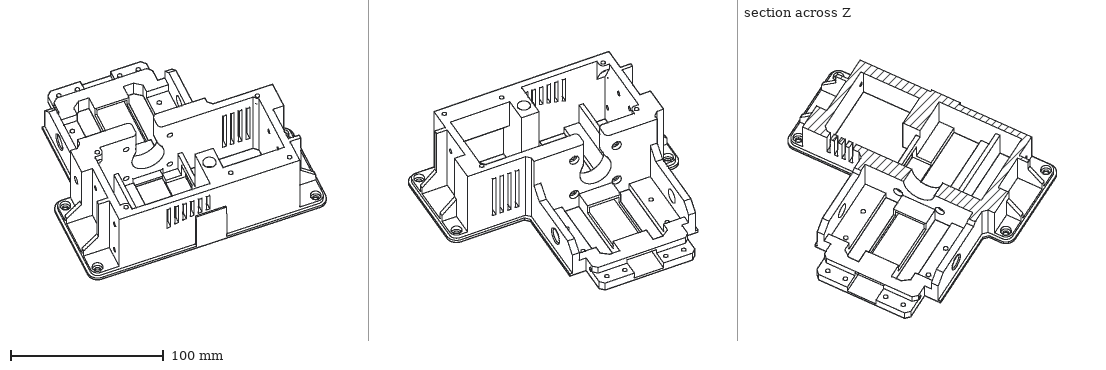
import cadquery as cq


LENGTH = 152.0
HEIGHT = 55.0
BASE_HOLE_PITCH_X = 55.0
BASE_HOLE_PITCH_Y = 154.63
CORNER_R = 7.0
LEDGE_INSET = 2.0
FLANGE_Z = 2.0
LEDGE_Z = 4.9
BASE_HOLE_D = 4.0
BASE_BORE_D = 7.0
BASE_BORE_DEPTH = 3.0

BODY_Y = 18.685
BASE_X0 = LENGTH - BASE_HOLE_PITCH_X - 2 * CORNER_R
BASE_CX = (BASE_X0 + LENGTH) / 2
BASE_WIDTH_X = LENGTH - BASE_X0
BASE_WIDTH_Y = BASE_HOLE_PITCH_Y + 2 * CORNER_R

BOX_X0 = BASE_X0 + LEDGE_INSET
BOX_X1 = LENGTH - LEDGE_INSET
BOX_HALF_Y = 71.7
RECESS_HALF_Y = 64.0
RECESS_X0 = 104.3
WALL_HOLE_D = 3.0
CORNER_SCREW_X = (BASE_X0 + CORNER_R, LENGTH - CORNER_R)

RIB_LOW_Z = 10.2
RIB_HIGH_Z = 20.3
FRONT_RIB_X = (101.3, RECESS_X0)
BACK_RIB_X = (130.5, 133.2)
RIB_REACH = BASE_WIDTH_Y / 2 - LEDGE_INSET

CAVITY_X0 = BASE_X0 + CORNER_R
LARGE_CAVITY_X1 = 136.2
LARGE_CAVITY_Y1 = 77.5
LARGE_CAVITY_CHAMFER = 3.0
SMALL_CAVITY_X1 = 145.2
SMALL_CAVITY_Y0 = -40.2
PILLAR_X0 = 119.1
PILLAR_Y0 = 21.1
PILLAR_Y1 = 34.1
UNDERCUT_HIGH_Z = 33.4
UNDERCUT_LOW_Z = 23.5
PILLAR_HOLE_XY = (128.9, 27.4)
PILLAR_BORE_D = 8.6
PILLAR_HOLE_D = 4.5
PILLAR_BORE_DEPTH = 10.0
PILLAR_HOLE_DEPTH = 25.0
BOSS_SIZE = 6.1
BOSS_THICK = 4.5
BOSS_SLOPE = 12.0
BOSS_HOLE_INSET = 3.0
BOSS_ROUND = BOSS_HOLE_INSET
SCREW_D = 2.9
SCREW_DEPTH = 7.0
DRILL_TIP_RATIO = 0.3
LID_SCREW_X = SMALL_CAVITY_X1 - BOSS_HOLE_INSET
LID_SCREW_Y = 37.0

END_HOLES_XZ = ((109.5, 40.0), (125.4, 40.0), (141.9, 13.0))
END_BLIND_HOLE_XZ = (141.9, 40.0)
END_BLIND_DEPTH = 4.0
END_HOLE_OVERRUN = 0.5
CABLE_HOLE_X = 94.9
CABLE_HOLE_Z = 35.0
CABLE_HOLE_D = 5.2

SHELF_Y0 = 10.1
LIP_Y1 = 24.2
SHELF_Z = 5.0
LIP_Z = 20.7
WINDOW_X = (96.1, 113.9)
WINDOW_Z = (2.0, 15.5)

MOTOR_X0 = 78.5
ARM_HALF_Y = 45.1
WALL_CHAMFER = 3.0
MOTOR_Z = 27.9
MOTOR_BORE_R = 11.4
MOTOR_PITCH = 31.0
MOTOR_SCREW_D = 3.8
MOTOR_SCREW_HEAD_D = 6.6
MOTOR_SCREW_HEAD_DEPTH = 3.0
NOTCH_HALF = 7.6
NOTCH_ROUND = 3.0

ARM_X0 = 22.1
ARM_WALL_INNER = 40.0
ARM_FLANGE_HALF_Y = 46.9
ARM_TOP_Z = 25.3
ARM_FRONT_CHAMFER = 6.9
ARM_REAR_CHAMFER = 7.9
ARM_HOLE_X = 46.9
ARM_HOLE_Z = 14.4
ARM_HOLE_D = 9.8
ARM_HOLE_CHAMFER = 0.8
FLOOR_Z = 5.0
FLOOR_INNER_Y = 24.6
FLOOR_HOLE_X = (35.0, 58.8)
FLOOR_HOLE_Y = 30.8
BRIDGE_X0 = 10.5
BRIDGE_X1 = 28.3
BRIDGE_Z = 11.5
OPENING_X0 = 18.4
OPENING_CHAMFER_X = 3.9
OPENING_CHAMFER_Y = 5.1
BEAM_HALF_Y = 12.2
BLOCK_X0 = 65.9
CHANNEL_HALF_Y = 10.7
CHANNEL_Z = (2.0, 9.4)
TAB_HALF_Y = 35.0
TAB_Z = 6.4
TAB_CHAMFER = 3.0
TAB_HOLE_X = 5.4
TAB_HOLE_Y = (15.0, 28.1)
SIDE_SCREW_X = 15.6
SIDE_SCREW_Z = 6.6

VENT_PITCH = 5.55
VENT_WIDTH = 2.5
FRONT_VENT_Y0 = 54.2
FRONT_VENT_COUNT = 4
FRONT_VENT_Z = (11.9, 44.9)
REAR_VENT_Y0 = -10.1
REAR_VENT_COUNT = 6
REAR_VENT_TOP = 48.6
REAR_VENT_ARC = ((-11.6, 28.6), (4.0, 32.8), (19.3, 34.6))

PAD_Y = (8.8, 30.2)
PAD_EDGE_Z = 23.3
PAD_TOP_Z = 32.0
PAD_TOP_X = BOX_X1 + 1.0


def block(x0, x1, y0, y1, z0, z1):
    return cq.Workplane("XY").box(x1 - x0, y1 - y0, z1 - z0, centered=False).translate((x0, y0, z0))


def prism_along_y(points, y0, y1):
    return cq.Workplane("XZ", origin=(0, y0, 0)).polyline(points).close().extrude(y0 - y1)


def prism_along_x(points, x0, x1):
    return cq.Workplane("YZ", origin=(x0, 0, 0)).polyline(points).close().extrude(x1 - x0)


def hole_z(x, y, diameter, z0, z1):
    return cq.Workplane("XY", origin=(x, y, z0)).circle(diameter / 2).extrude(z1 - z0)


def hole_y(x, z, diameter, y0, y1):
    return cq.Workplane("XZ", origin=(x, y0, z)).circle(diameter / 2).extrude(y0 - y1)


def hole_x(y, z, diameter, x0, x1):
    return cq.Workplane("YZ", origin=(x0, y, z)).circle(diameter / 2).extrude(x1 - x0)


def blind_hole(mouth, direction, diameter, depth):
    """Drilled hole from its mouth inward, ending in a drill point."""
    start = cq.Vector(*mouth)
    inward = cq.Vector(*direction)
    bore = cq.Solid.makeCylinder(diameter / 2, depth, start, inward)
    tip = cq.Solid.makeCone(diameter / 2, 0, DRILL_TIP_RATIO * diameter, start + inward * depth, inward)
    return cq.Workplane(bore).union(cq.Workplane(tip))


def both_ends(solid):
    """Add the copy mirrored about the body's middle plane."""
    return solid.union(solid.mirror("XZ", (0, BODY_Y, 0)))


def both_sides(solid):
    """Add the copy mirrored about the arm axis."""
    return solid.union(solid.mirror("XZ"))


def make_base():
    flange = (
        cq.Workplane("XY", origin=(BASE_CX, BODY_Y, 0))
        .rect(BASE_WIDTH_X, BASE_WIDTH_Y)
        .extrude(FLANGE_Z)
        .edges("|Z")
        .fillet(CORNER_R)
    )
    ledge = (
        cq.Workplane("XY", origin=(BASE_CX, BODY_Y, 0))
        .rect(BASE_WIDTH_X - 2 * LEDGE_INSET, BASE_WIDTH_Y - 2 * LEDGE_INSET)
        .extrude(LEDGE_Z)
        .edges("|Z")
        .fillet(CORNER_R - LEDGE_INSET)
    )
    return flange.union(ledge)


def make_box():
    box = block(BOX_X0, BOX_X1, BODY_Y - BOX_HALF_Y, BODY_Y + BOX_HALF_Y, 0, HEIGHT)
    recess_y0 = BODY_Y + RECESS_HALF_Y
    recess = block(RECESS_X0, LENGTH, recess_y0, recess_y0 + BOX_HALF_Y, LEDGE_Z, HEIGHT)
    return box.cut(both_ends(recess))


def make_ribs():
    root = BODY_Y + RECESS_HALF_Y
    shoulder = BODY_Y + BOX_HALF_Y
    tip = BODY_Y + RIB_REACH
    gusset = [(root, 0), (tip, 0), (tip, RIB_LOW_Z), (shoulder, RIB_HIGH_Z), (root, RIB_HIGH_Z)]
    ribs = prism_along_x(gusset, *FRONT_RIB_X).union(prism_along_x(gusset, *BACK_RIB_X))
    ribs = ribs.union(block(*BACK_RIB_X, root, shoulder, 0, HEIGHT))
    return both_ends(ribs)


def make_motor_wall():
    """Thick wall between arm and box, with bevelled corners running into the box front."""

    def plan(front_x, half_y, corner_x, height):
        points = [
            (front_x, -half_y),
            (corner_x - WALL_CHAMFER, -half_y),
            (corner_x, -half_y - WALL_CHAMFER),
            (CAVITY_X0, -half_y - WALL_CHAMFER),
            (CAVITY_X0, half_y + WALL_CHAMFER),
            (corner_x, half_y + WALL_CHAMFER),
            (corner_x - WALL_CHAMFER, half_y),
            (front_x, half_y),
        ]
        return cq.Workplane("XY").polyline(points).close().extrude(height)

    wall = plan(MOTOR_X0, ARM_HALF_Y, BOX_X0, HEIGHT)
    foot = plan(MOTOR_X0, ARM_FLANGE_HALF_Y, BASE_X0, FLANGE_Z)
    return wall.union(foot)


def make_arm():
    rear_z = ARM_TOP_Z + ARM_REAR_CHAMFER
    side_profile = [
        (ARM_X0, 0),
        (MOTOR_X0, 0),
        (MOTOR_X0, rear_z),
        (MOTOR_X0 - ARM_REAR_CHAMFER, ARM_TOP_Z),
        (ARM_X0 + ARM_FRONT_CHAMFER, ARM_TOP_Z),
        (ARM_X0, ARM_TOP_Z - ARM_FRONT_CHAMFER),
    ]
    side = prism_along_y(side_profile, ARM_WALL_INNER, ARM_HALF_Y)
    side = side.union(block(ARM_X0, MOTOR_X0, ARM_WALL_INNER, ARM_FLANGE_HALF_Y, 0, FLANGE_Z))
    side = side.union(block(BRIDGE_X1, MOTOR_X0, FLOOR_INNER_Y, ARM_WALL_INNER, 0, FLOOR_Z))
    arm = both_sides(side)

    tab = block(0, ARM_X0, -TAB_HALF_Y, TAB_HALF_Y, 0, TAB_Z).edges("|Z and <X").chamfer(TAB_CHAMFER)
    bridge = block(BRIDGE_X0, BRIDGE_X1, -TAB_HALF_Y, TAB_HALF_Y, 0, BRIDGE_Z)
    bridge = bridge.edges("|Z and <X").chamfer(TAB_CHAMFER)
    bridge = bridge.union(block(ARM_X0, BRIDGE_X1, -ARM_WALL_INNER, ARM_WALL_INNER, 0, BRIDGE_Z))
    arm = arm.union(tab).union(bridge)

    opening_points = [
        (OPENING_X0, BEAM_HALF_Y),
        (MOTOR_X0, BEAM_HALF_Y),
        (MOTOR_X0, FLOOR_INNER_Y),
        (OPENING_X0 + OPENING_CHAMFER_X, FLOOR_INNER_Y),
        (OPENING_X0, FLOOR_INNER_Y - OPENING_CHAMFER_Y),
    ]
    opening = cq.Workplane("XY").polyline(opening_points).close().extrude(HEIGHT)
    arm = arm.cut(both_sides(opening))

    beam = block(BRIDGE_X1, MOTOR_X0, -BEAM_HALF_Y, BEAM_HALF_Y, 0, FLOOR_Z)
    beam = beam.union(block(BLOCK_X0, MOTOR_X0, -BEAM_HALF_Y, BEAM_HALF_Y, 0, BRIDGE_Z))
    return arm.union(beam)


def make_cable_channel():
    """Passage from the tab, under the bridge and block, through the motor wall."""
    return block(0, CAVITY_X0, -CHANNEL_HALF_Y, CHANNEL_HALF_Y, *CHANNEL_Z)


def make_arm_holes():
    holes = hole_y(ARM_HOLE_X, ARM_HOLE_Z, ARM_HOLE_D, ARM_WALL_INNER, ARM_HALF_Y)
    countersink = cq.Solid.makeCone(
        ARM_HOLE_D / 2,
        ARM_HOLE_D / 2 + ARM_HOLE_CHAMFER,
        ARM_HOLE_CHAMFER,
        pnt=cq.Vector(ARM_HOLE_X, ARM_HALF_Y - ARM_HOLE_CHAMFER, ARM_HOLE_Z),
        dir=cq.Vector(0, 1, 0),
    )
    holes = holes.union(cq.Workplane(countersink))
    for x in FLOOR_HOLE_X:
        holes = holes.union(hole_z(x, FLOOR_HOLE_Y, WALL_HOLE_D, 0, FLOOR_Z))
    for y in TAB_HOLE_Y:
        holes = holes.union(hole_z(TAB_HOLE_X, y, SCREW_D, 0, TAB_Z))
    side_mouth = (SIDE_SCREW_X, TAB_HALF_Y, SIDE_SCREW_Z)
    holes = holes.union(blind_hole(side_mouth, (0, -1, 0), SCREW_D, SCREW_DEPTH))
    return both_sides(holes)


def make_cavities():
    large = block(CAVITY_X0, LARGE_CAVITY_X1, PILLAR_Y1, LARGE_CAVITY_Y1, 0, HEIGHT)
    large = large.edges("|Z and <X and >Y").chamfer(LARGE_CAVITY_CHAMFER)
    beside_pillar = block(CAVITY_X0, PILLAR_X0, PILLAR_Y0, PILLAR_Y1, 0, HEIGHT)
    undercut_profile = [
        (LARGE_CAVITY_X1, 0),
        (SMALL_CAVITY_X1, 0),
        (SMALL_CAVITY_X1, UNDERCUT_LOW_Z),
        (LARGE_CAVITY_X1, UNDERCUT_HIGH_Z),
    ]
    undercut = prism_along_y(undercut_profile, PILLAR_Y1, LARGE_CAVITY_Y1)
    small = block(CAVITY_X0, SMALL_CAVITY_X1, SMALL_CAVITY_Y0, PILLAR_Y0, 0, HEIGHT)
    return large.union(beside_pillar).union(undercut).union(small)


def make_bosses():
    """Screw bosses hanging in the small cavity's -Y corners, sloped underneath."""
    y1 = SMALL_CAVITY_Y0 + BOSS_SIZE
    flat_z = HEIGHT - BOSS_THICK
    bosses = cq.Workplane("XY")
    for wall_x, inward in ((CAVITY_X0, 1), (SMALL_CAVITY_X1, -1)):
        tip_x = wall_x + inward * BOSS_SIZE
        profile = [
            (wall_x, HEIGHT),
            (tip_x, HEIGHT),
            (tip_x, flat_z),
            (wall_x, flat_z - BOSS_SLOPE),
        ]
        boss = prism_along_y(profile, SMALL_CAVITY_Y0, y1)
        side = ">X" if inward > 0 else "<X"
        bosses = bosses.union(boss.edges("|Z").edges(side).edges(">Y").fillet(BOSS_ROUND))
    return bosses


def make_shelves():
    shelf = block(CAVITY_X0, SMALL_CAVITY_X1, SHELF_Y0, PILLAR_Y0, 0, SHELF_Z)
    lip = block(CAVITY_X0, SMALL_CAVITY_X1, PILLAR_Y0, LIP_Y1, 0, LIP_Z)
    lower = shelf.union(lip).mirror("XZ")
    lip = block(CAVITY_X0, PILLAR_X0, PILLAR_Y0, LIP_Y1, 0, LIP_Z)
    window = block(*WINDOW_X, SHELF_Y0, LIP_Y1, *WINDOW_Z)
    return shelf.union(lip).cut(window).union(lower)


def make_motor_cuts():
    cuts = hole_x(0, MOTOR_Z, 2 * MOTOR_BORE_R, MOTOR_X0, CAVITY_X0)
    flare = NOTCH_HALF + NOTCH_ROUND
    notch = (
        cq.Workplane("XY", origin=(0, 0, MOTOR_Z))
        .moveTo(MOTOR_X0, flare)
        .radiusArc((MOTOR_X0 + NOTCH_ROUND, NOTCH_HALF), -NOTCH_ROUND)
        .lineTo(CAVITY_X0 - NOTCH_ROUND, NOTCH_HALF)
        .radiusArc((CAVITY_X0, flare), -NOTCH_ROUND)
        .lineTo(CAVITY_X0, -flare)
        .radiusArc((CAVITY_X0 - NOTCH_ROUND, -NOTCH_HALF), -NOTCH_ROUND)
        .lineTo(MOTOR_X0 + NOTCH_ROUND, -NOTCH_HALF)
        .radiusArc((MOTOR_X0, -flare), -NOTCH_ROUND)
        .close()
        .extrude(HEIGHT - MOTOR_Z)
    )
    cuts = cuts.union(notch)
    for y in (-MOTOR_PITCH / 2, MOTOR_PITCH / 2):
        for z in (MOTOR_Z - MOTOR_PITCH / 2, MOTOR_Z + MOTOR_PITCH / 2):
            cuts = cuts.union(hole_x(y, z, MOTOR_SCREW_D, MOTOR_X0, CAVITY_X0))
            head_end = MOTOR_X0 + MOTOR_SCREW_HEAD_DEPTH
            cuts = cuts.union(hole_x(y, z, MOTOR_SCREW_HEAD_D, MOTOR_X0, head_end))
    return cuts


def make_base_holes():
    holes = cq.Workplane("XY")
    for x in CORNER_SCREW_X:
        for y in (BODY_Y - BASE_HOLE_PITCH_Y / 2, BODY_Y + BASE_HOLE_PITCH_Y / 2):
            holes = holes.union(hole_z(x, y, BASE_HOLE_D, 0, LEDGE_Z))
            holes = holes.union(hole_z(x, y, BASE_BORE_D, LEDGE_Z - BASE_BORE_DEPTH, LEDGE_Z))
    return holes


def make_top_holes():
    boss_y = SMALL_CAVITY_Y0 + BOSS_HOLE_INSET
    places = [
        (CORNER_SCREW_X[0], LARGE_CAVITY_Y1),
        (CORNER_SCREW_X[1], LARGE_CAVITY_Y1),
        (CAVITY_X0 + BOSS_HOLE_INSET, boss_y),
        (LID_SCREW_X, boss_y),
    ]
    holes = hole_z(*PILLAR_HOLE_XY, PILLAR_BORE_D, HEIGHT - PILLAR_BORE_DEPTH, HEIGHT)
    holes = holes.union(hole_z(*PILLAR_HOLE_XY, PILLAR_HOLE_D, HEIGHT - PILLAR_HOLE_DEPTH, HEIGHT))
    holes = holes.union(hole_z(LID_SCREW_X, LID_SCREW_Y, SCREW_D, HEIGHT - SCREW_DEPTH, HEIGHT))
    for x, y in places:
        holes = holes.union(blind_hole((x, y, HEIGHT), (0, 0, -1), SCREW_D, SCREW_DEPTH))
    return holes


def make_end_wall_holes():
    outer_y = BODY_Y + RECESS_HALF_Y
    holes = cq.Workplane("XY")
    for x, z in END_HOLES_XZ:
        holes = holes.union(hole_y(x, z, WALL_HOLE_D, LARGE_CAVITY_Y1 - END_HOLE_OVERRUN, outer_y))
    blind_x, blind_z = END_BLIND_HOLE_XZ
    mouth = (blind_x, outer_y, blind_z)
    holes = both_ends(holes.union(blind_hole(mouth, (0, -1, 0), WALL_HOLE_D, END_BLIND_DEPTH)))
    box_y0 = BODY_Y - BOX_HALF_Y
    return holes.union(hole_y(CABLE_HOLE_X, CABLE_HOLE_Z, CABLE_HOLE_D, box_y0, SMALL_CAVITY_Y0))


def make_front_vents():
    vents = cq.Workplane("XY")
    for i in range(FRONT_VENT_COUNT):
        y = FRONT_VENT_Y0 + i * VENT_PITCH
        y0 = y - VENT_WIDTH / 2
        vents = vents.union(block(BOX_X0, CAVITY_X0, y0, y0 + VENT_WIDTH, *FRONT_VENT_Z))
    return vents


def make_rear_vents():
    """Slots with a level top whose lower ends follow one arc."""
    arc_start, arc_middle, arc_end = REAR_VENT_ARC
    field = (
        cq.Workplane("YZ", origin=(SMALL_CAVITY_X1, 0, 0))
        .moveTo(*arc_start)
        .threePointArc(arc_middle, arc_end)
        .lineTo(arc_end[0], REAR_VENT_TOP)
        .lineTo(arc_start[0], REAR_VENT_TOP)
        .close()
        .extrude(BOX_X1 - SMALL_CAVITY_X1)
    )
    slots = cq.Workplane("XY")
    for i in range(REAR_VENT_COUNT):
        y0 = REAR_VENT_Y0 + i * VENT_PITCH - VENT_WIDTH / 2
        slots = slots.union(block(SMALL_CAVITY_X1, BOX_X1, y0, y0 + VENT_WIDTH, 0, HEIGHT))
    return slots.intersect(field)


def make_rear_pad():
    profile = [
        (BOX_X1, 0),
        (LENGTH, 0),
        (LENGTH, PAD_EDGE_Z),
        (PAD_TOP_X, PAD_TOP_Z),
        (BOX_X1, PAD_TOP_Z),
    ]
    return prism_along_y(profile, *PAD_Y)


result = make_base().union(make_box()).union(make_ribs()).union(make_motor_wall())
result = result.cut(make_cavities()).union(make_bosses()).union(make_shelves())
result = result.union(make_arm()).union(make_rear_pad())
result = result.cut(make_arm_holes()).cut(make_motor_cuts()).cut(make_cable_channel())
result = result.cut(make_base_holes()).cut(make_top_holes()).cut(make_end_wall_holes())
result = result.cut(make_front_vents()).cut(make_rear_vents())